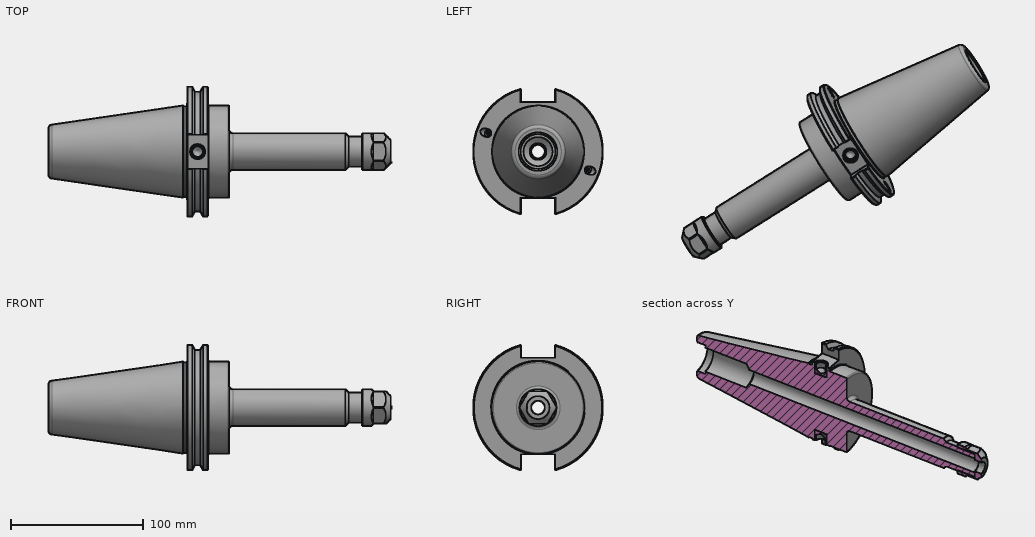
import cadquery as cq
import math


drill_point_half_angle = 59
edge_break = 0.54

gauge_radius = 69.85 / 2
taper_length = 101.75
taper_ratio = 7 / 24
rear_end = -taper_length
small_end_radius = gauge_radius - taper_length * taper_ratio / 2
small_end_fillet = 3.0

relief_depth = 0.5
relief_start = 0.5
flange_start = 3.2
flange_end = 19.05
flange_radius = 98.43 / 2
flange_front_chamfer = 0.8
groove_center = 11.1
groove_floor_width = 4.0
groove_floor_radius = 45.5
groove_half_angle = 30
collar_radius = 35.0
collar_root_fillet = 0.6
collar_end = 35.0
collar_fillet = 1.0

slot_width = 25.7
drive_slots = ((37.7, 0), (35.3, 180))

nut_start = 135.3
index_mark_end = rear_end + 259.59
index_mark_height = 0.65
index_mark_width = 2.0
index_mark_thickness = 0.5
index_mark_pitch_radius = 8.2
nut_end = index_mark_end - index_mark_height
nut_radius = 28 / 2
nut_rear_chamfer = 0.8
nut_across_flats = 24.7
nut_flat_start = 144.1
nut_face_radius = 8.7
nut_opening_radius = 10.13 / 2
nut_lip = 6.0

shank_radius = nut_radius
neck_fillet = 2.5
shank_end = 122.9
nose_radius = 23 / 2
nose_thread_radius = 22 / 2
nose_end = nut_end - nut_lip

pilot_radius = 26.36 / 2
pilot_mouth_radius = 29.2 / 2
pilot_mouth_depth = 0.8
pilot_depth = 7.8
thread_bore_radius = 21.97 / 2
thread_bore_depth = 45.0
through_radius = 12.7 / 2

plug_hole_mouth_radius = 11.5 / 2
plug_radius = 10.13 / 2
plug_sink = plug_hole_mouth_radius - plug_radius
plug_length = 9.0
plug_socket_radius = 8 / 2
plug_socket_depth = 5.0

coolant_pitch_radius = 42.0
coolant_turns = (20, 200)
coolant_tilt = 43
coolant_radius = 6.2 / 2
coolant_sink = 2.5
coolant_screw_length = 6.0
coolant_entry = 4.0
coolant_socket_size = 3.0
coolant_socket_depth = 2.0


def spin(outline):
    """Solid of revolution of a half section about the X axis."""
    return outline.revolve(360, (0, 0, 0), (1, 0, 0))


def arc_offset(radius):
    """Distance from a fillet's sharp corner lines to the middle of its arc."""
    return radius * (1 - math.sin(math.pi / 4))


def drill_point(radius, end_radius=0):
    """Length of a drill-point cone between two radii."""
    return (radius - end_radius) / math.tan(math.radians(drill_point_half_angle))



def holder_blank():
    """Outside of the holder from the taper to the threaded nose."""
    groove_half_floor = groove_floor_width / 2
    groove_depth = flange_radius - groove_floor_radius
    groove_half_mouth = groove_half_floor + groove_depth * math.tan(math.radians(groove_half_angle))
    relief_radius = gauge_radius - relief_depth
    root = arc_offset(collar_root_fillet)
    rim = arc_offset(collar_fillet)
    neck = arc_offset(neck_fillet)
    outline = (
        cq.Workplane("XY")
        .moveTo(rear_end, 0)
        .lineTo(rear_end, small_end_radius)
        .lineTo(0, gauge_radius)
        .lineTo(relief_start, relief_radius)
        .lineTo(flange_start - relief_depth, relief_radius)
        .lineTo(flange_start, gauge_radius)
        .lineTo(flange_start, flange_radius - edge_break)
        .lineTo(flange_start + edge_break, flange_radius)
        .lineTo(groove_center - groove_half_mouth, flange_radius)
        .lineTo(groove_center - groove_half_floor, groove_floor_radius)
        .lineTo(groove_center + groove_half_floor, groove_floor_radius)
        .lineTo(groove_center + groove_half_mouth, flange_radius)
        .lineTo(flange_end - flange_front_chamfer, flange_radius)
        .lineTo(flange_end, flange_radius - flange_front_chamfer)
        .lineTo(flange_end, collar_radius + collar_root_fillet)
        .threePointArc(
            (flange_end + root, collar_radius + root),
            (flange_end + collar_root_fillet, collar_radius),
        )
        .lineTo(collar_end - collar_fillet, collar_radius)
        .threePointArc(
            (collar_end - rim, collar_radius - rim),
            (collar_end, collar_radius - collar_fillet),
        )
        .lineTo(collar_end, shank_radius + neck_fillet)
        .threePointArc(
            (collar_end + neck, shank_radius + neck),
            (collar_end + neck_fillet, shank_radius),
        )
        .lineTo(shank_end, shank_radius)
        .lineTo(shank_end + shank_radius - nose_radius, nose_radius)
        .lineTo(nut_start, nose_radius)
        .lineTo(nut_start, nose_thread_radius)
        .lineTo(nose_end, nose_thread_radius)
        .lineTo(nose_end, 0)
        .close()
    )
    return spin(outline).faces("<X").edges().fillet(small_end_fillet)


def holder_bore():
    """Chamfered pilot, thread bore with a conical end, and through hole."""
    cone_start = rear_end + thread_bore_depth
    outline = (
        cq.Workplane("XY")
        .moveTo(rear_end, 0)
        .lineTo(rear_end, pilot_mouth_radius)
        .lineTo(rear_end + pilot_mouth_depth, pilot_radius)
        .lineTo(rear_end + pilot_depth, pilot_radius)
        .lineTo(rear_end + pilot_depth, thread_bore_radius)
        .lineTo(cone_start, thread_bore_radius)
        .lineTo(cone_start + drill_point(thread_bore_radius, through_radius), through_radius)
        .lineTo(nose_end, through_radius)
        .lineTo(nose_end, 0)
        .close()
    )
    return spin(outline)


def drive_slot(floor_height):
    """Cutter for a slot at +Z, with broken edges at the rim and on the flange's rear face."""
    half = slot_width / 2
    rim_half = half + edge_break
    rim_height = math.sqrt(flange_radius**2 - rim_half**2)
    above_rim = flange_radius - rim_height + edge_break
    slot = (
        cq.Workplane("YZ", origin=(flange_start, 0, 0))
        .moveTo(-half, floor_height)
        .lineTo(half, floor_height)
        .lineTo(half, rim_height - edge_break)
        .lineTo(rim_half + above_rim, rim_height + above_rim)
        .lineTo(-rim_half - above_rim, rim_height + above_rim)
        .lineTo(-half, rim_height - edge_break)
        .close()
        .extrude(flange_end + collar_root_fillet - flange_start)
    )
    flare_height = 2 * (flange_radius - floor_height)
    flare_middle = floor_height - edge_break + flare_height / 2
    flare = (
        cq.Workplane("YZ", origin=(flange_start, 0, flare_middle))
        .rect(slot_width + 2 * edge_break, flare_height)
        .extrude(edge_break, taper=45)
    )
    return slot.union(flare)



def place_in_slot(body, floor_height, turn):
    """Moves a body modelled down from Z = 0 onto the floor of a drive slot."""
    return body.translate((groove_center, 0, floor_height)).rotate((0, 0, 0), (1, 0, 0), turn)


def plug_hole():
    """Blind hole for a plug, with a countersunk mouth."""
    bottom = -plug_sink - plug_length
    return (
        cq.Workplane("XZ")
        .lineTo(plug_hole_mouth_radius, 0)
        .lineTo(plug_radius, -plug_sink)
        .lineTo(plug_radius, bottom)
        .lineTo(0, bottom)
        .close()
        .revolve(360, (0, 0, 0), (0, 1, 0))
    )


def plug():
    """Round plug just below the countersink, with a drilled socket."""
    top = -plug_sink
    socket_end = top - plug_socket_depth
    return (
        cq.Workplane("XZ")
        .moveTo(plug_socket_radius, top)
        .lineTo(plug_radius, top)
        .lineTo(plug_radius, top - plug_length)
        .lineTo(0, top - plug_length)
        .lineTo(0, socket_end - drill_point(plug_socket_radius))
        .lineTo(plug_socket_radius, socket_end)
        .close()
        .revolve(360, (0, 0, 0), (0, 1, 0))
    )



def place_in_flange(body, turn):
    """Tilts a body modelled along +X towards the axis and moves it to the flange's rear face."""
    return (
        body.rotate((0, 0, 0), (0, 0, 1), -coolant_tilt)
        .translate((flange_start, coolant_pitch_radius, 0))
        .rotate((0, 0, 0), (1, 0, 0), turn)
    )


def coolant_hole():
    """Straight hole that starts outside the flange and ends under the screw."""
    return (
        cq.Workplane("YZ", origin=(-coolant_entry, 0, 0))
        .circle(coolant_radius)
        .extrude(coolant_entry + coolant_sink + coolant_screw_length)
    )


def coolant_screw():
    """Set screw with a hexagon socket."""
    socket = (
        cq.Workplane("YZ", origin=(coolant_sink, 0, 0))
        .polygon(6, coolant_socket_size)
        .extrude(coolant_socket_depth)
    )
    return (
        cq.Workplane("YZ", origin=(coolant_sink, 0, 0))
        .circle(coolant_radius)
        .extrude(coolant_screw_length)
        .cut(socket)
    )



def nut_blank():
    """Round nut with a rear chamfer, a front cone, a threaded bore and a front opening."""
    outline = (
        cq.Workplane("XY")
        .moveTo(nut_start, nose_thread_radius)
        .lineTo(nut_start, nut_radius - nut_rear_chamfer)
        .lineTo(nut_start + nut_rear_chamfer, nut_radius)
        .lineTo(nut_end - (nut_radius - nut_face_radius), nut_radius)
        .lineTo(nut_end, nut_face_radius)
        .lineTo(nut_end, nut_opening_radius)
        .lineTo(nose_end, nut_opening_radius)
        .lineTo(nose_end, nose_thread_radius)
        .close()
    )
    return spin(outline)


def nut_flat():
    """Cutter for the wrench flat at +Z, which runs out to the rear on a 45 degree ramp."""
    flat_height = nut_across_flats / 2
    cut_depth = nut_radius - flat_height + edge_break
    return (
        cq.Workplane("XZ")
        .moveTo(nut_flat_start, flat_height)
        .lineTo(nut_end, flat_height)
        .lineTo(nut_end, flat_height + cut_depth)
        .lineTo(nut_flat_start - cut_depth, flat_height + cut_depth)
        .close()
        .extrude(nut_radius, both=True)
    )


def nut_index_mark():
    """Small raised bar near the -Y rim of the nut's front face."""
    return (
        cq.Workplane("YZ", origin=(nut_end, -index_mark_pitch_radius, 0))
        .rect(index_mark_thickness, index_mark_width)
        .extrude(index_mark_height)
    )



holder = holder_blank().cut(holder_bore())
plugs = []
for floor_height, turn in drive_slots:
    holder = holder.cut(drive_slot(floor_height).rotate((0, 0, 0), (1, 0, 0), turn))
    holder = holder.cut(place_in_slot(plug_hole(), floor_height, turn))
    plugs.append(place_in_slot(plug(), floor_height, turn).val())

coolant_screws = []
for turn in coolant_turns:
    holder = holder.cut(place_in_flange(coolant_hole(), turn))
    coolant_screws.append(place_in_flange(coolant_screw(), turn).val())

nut = nut_blank()
for i in range(6):
    nut = nut.cut(nut_flat().rotate((0, 0, 0), (1, 0, 0), 60 * i))
nut = nut.union(nut_index_mark())

result = cq.Compound.makeCompound([holder.val(), nut.val(), *plugs, *coolant_screws])